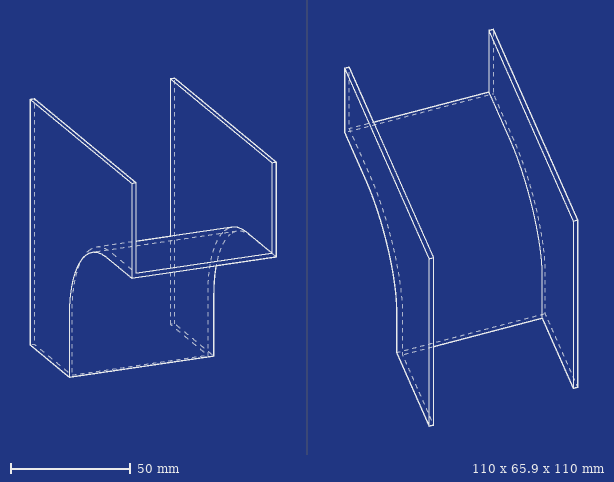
import cadquery as cq

side = 110.0
width = 65.9
sheet = 2.0

leg = 42.5
bend_radius = 40.0

center_x = leg + bend_radius
center_z = side - center_x


def elbow(leg_height, radius, y_start, y_end):
    """L-shaped slab with a rounded inside corner, between two Y positions."""
    middle = radius * 0.5 ** 0.5
    return (
        cq.Workplane("XZ", origin=(0, y_start, 0))
        .lineTo(leg_height, 0)
        .lineTo(leg_height, center_z)
        .threePointArc(
            (center_x - middle, center_z + middle),
            (center_x, side - leg_height),
        )
        .lineTo(side, side - leg_height)
        .lineTo(side, side)
        .lineTo(0, side)
        .close()
        .extrude(y_start - y_end)
    )


body = elbow(leg, bend_radius, 0, width)
channel = elbow(leg - sheet, bend_radius + sheet, sheet, width - sheet)

result = body.cut(channel)